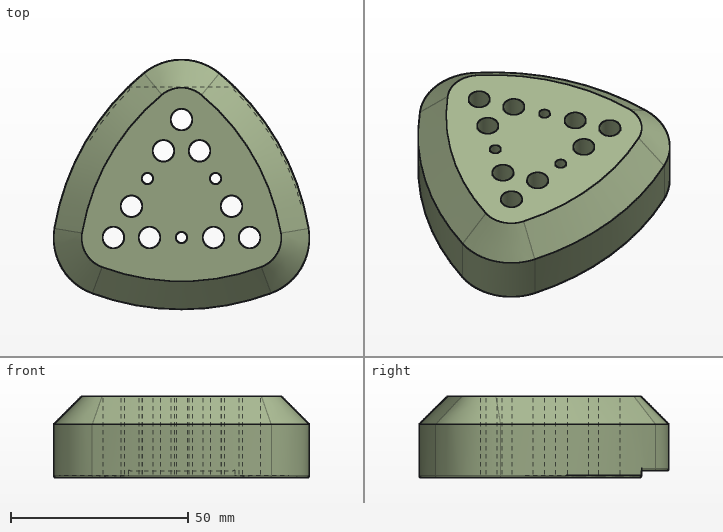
import cadquery as cq
import math

height = 23.0
corner_triangle_side = 38.8
corner_radius = 16.7
side_radius = 72.15
top_chamfer = 7.9
bottom_fillet = 0.7

step_length = 7.7
step_height = 1.95

large_hole_diameter = 6.0
small_hole_diameter = 3.1
hole_triangle_side = 38.4
hole_pitch = 10.2

corner_distance = corner_triangle_side / math.sqrt(3)
corner_angles = [90, 210, 330]
apex_y = corner_distance + corner_radius
step_y = apex_y - step_length


def polar(distance, angle):
    """Point at a distance from the axis, at an angle in degrees from +X."""
    radians = math.radians(angle)
    return (distance * math.cos(radians), distance * math.sin(radians))


half_side = corner_triangle_side / 2
inradius = corner_distance / 2
side_centre_distance = math.sqrt((side_radius - corner_radius) ** 2 - half_side ** 2) - inradius
side_distance = side_radius - side_centre_distance
side_half_angle = math.degrees(math.asin(half_side / (side_radius - corner_radius)))
corner_half_angle = 60 - side_half_angle


def corner_point(corner_angle, offset_angle):
    """Point on a corner arc, turned by offset_angle from the corner's middle."""
    centre_x, centre_y = polar(corner_distance, corner_angle)
    arc_x, arc_y = polar(corner_radius, corner_angle + offset_angle)
    return (centre_x + arc_x, centre_y + arc_y)


def make_outline():
    outline = cq.Workplane("XY").moveTo(*corner_point(corner_angles[0], -corner_half_angle))
    for angle in corner_angles:
        outline = outline.threePointArc(
            corner_point(angle, 0), corner_point(angle, corner_half_angle)
        )
        outline = outline.threePointArc(
            polar(side_distance, angle + 60), corner_point(angle + 120, -corner_half_angle)
        )
    return outline.close()


def make_body():
    """Chamfered block with a step cut across the +Y corner and rounded bottom rims."""
    body = make_outline().extrude(height)
    body = body.faces(">Z").chamfer(top_chamfer)
    step_width = 2 * apex_y
    step = (
        cq.Workplane("XY")
        .box(step_width, step_length, step_height, centered=(True, False, False))
        .translate((0, step_y, 0))
    )
    body = body.cut(step)
    ceiling_rim = body.faces("<Z[1]").edges("not |X")
    lower_rim = body.faces("<Z").edges()
    return body.newObject(ceiling_rim.vals() + lower_rim.vals()).fillet(bottom_fillet)


def cut_holes(body, points, diameter):
    holes = cq.Workplane("XY").pushPoints(points).circle(diameter / 2).extrude(height)
    return body.cut(holes)


hole_distance = hole_triangle_side / math.sqrt(3)
large_hole_points = []
small_hole_points = []
for angle in corner_angles:
    hole_x, hole_y = polar(hole_distance, angle)
    large_hole_points.append((hole_x, hole_y))
    for turn in (-150, 150):
        pitch_x, pitch_y = polar(hole_pitch, angle + turn)
        large_hole_points.append((hole_x + pitch_x, hole_y + pitch_y))
    small_hole_points.append(polar(hole_distance / 2, angle + 60))

result = make_body()
result = cut_holes(result, large_hole_points, large_hole_diameter)
result = cut_holes(result, small_hole_points, small_hole_diameter)